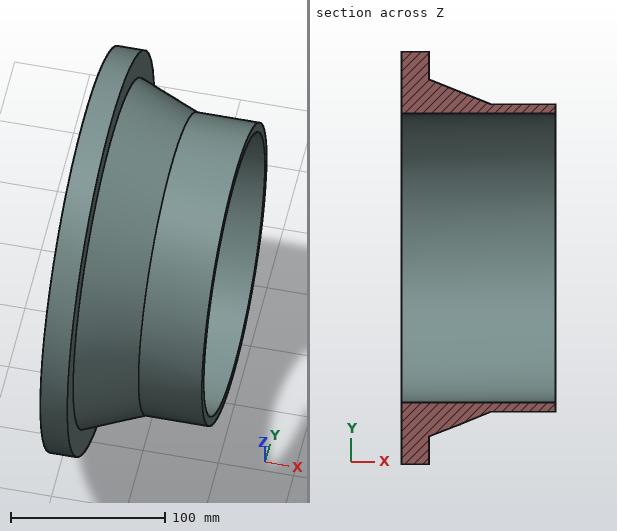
import cadquery as cq

total_length = 100.0
flange_diameter = 268.0
flange_thickness = 18.0
hub_base_diameter = 232.0
neck_diameter = 200.0
neck_length = 42.0
bore_diameter = 187.6

flange_radius = flange_diameter / 2
hub_base_radius = hub_base_diameter / 2
neck_radius = neck_diameter / 2
bore_radius = bore_diameter / 2
neck_start = total_length - neck_length


def revolved_collar():
    """Flange, tapered hub and straight neck around a through bore."""
    half_section = (
        cq.Workplane("XY")
        .moveTo(0, bore_radius)
        .lineTo(0, flange_radius)
        .lineTo(flange_thickness, flange_radius)
        .lineTo(flange_thickness, hub_base_radius)
        .lineTo(neck_start, neck_radius)
        .lineTo(total_length, neck_radius)
        .lineTo(total_length, bore_radius)
        .close()
    )
    return half_section.revolve(360, (0, 0, 0), (1, 0, 0))


result = revolved_collar()